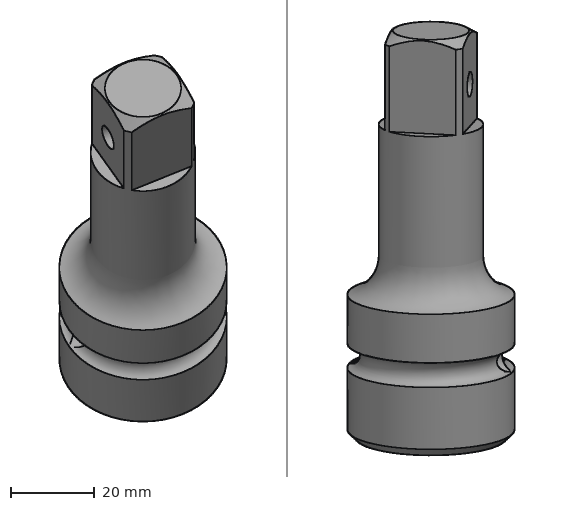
import cadquery as cq
import math

total_height = 100.0
square_base_z = 77.0
flare_base_z = 35.2
flare_top_z = 44.8

body_radius = 20.0
shank_radius = 12.5
base_chamfer_height = 2.0
base_chamfer_width = 2.0

groove_z = 20.2
groove_radius = 3.0

square_side = 19.0
corner_radius = 12.5
end_radius = 9.1
cone_height = 2.0

pin_hole_diameter = 6.0
drive_hole_z = 87.3

flare_width = body_radius - shank_radius
flare_height = flare_top_z - flare_base_z
flare_radius = (flare_width**2 + flare_height**2) / (2 * flare_width)
flare_half_angle = math.asin(flare_height / flare_radius) / 2
flare_mid = (
    shank_radius + flare_radius * (1 - math.cos(flare_half_angle)),
    flare_top_z - flare_radius * math.sin(flare_half_angle),
)


def turned_body():
    """Revolve the chamfered base, grooved collar, flare and shank."""
    profile = (
        cq.Workplane("XZ")
        .lineTo(body_radius - base_chamfer_width, 0)
        .lineTo(body_radius, base_chamfer_height)
        .lineTo(body_radius, groove_z - groove_radius)
        .threePointArc((body_radius - groove_radius, groove_z), (body_radius, groove_z + groove_radius))
        .lineTo(body_radius, flare_base_z)
        .threePointArc(flare_mid, (shank_radius, flare_top_z))
        .lineTo(shank_radius, square_base_z)
        .lineTo(0, square_base_z)
        .close()
    )
    return profile.revolve(360, (0, 0, 0), (0, 1, 0))


def square_drive():
    """Trim a square bar with a cone-ended turned envelope."""
    bar = (
        cq.Workplane("XY", origin=(0, 0, square_base_z))
        .rect(square_side, square_side)
        .extrude(total_height - square_base_z)
    )
    envelope = (
        cq.Workplane("XZ")
        .moveTo(0, square_base_z)
        .lineTo(corner_radius, square_base_z)
        .lineTo(corner_radius, total_height - cone_height)
        .lineTo(end_radius, total_height)
        .lineTo(0, total_height)
        .close()
        .revolve(360, (0, 0, 0), (0, 1, 0))
    )
    return bar.intersect(envelope)


def cross_hole(height):
    """Cylinder along Y through the whole part."""
    return (
        cq.Workplane("XZ", origin=(0, 0, height))
        .circle(pin_hole_diameter / 2)
        .extrude(body_radius, both=True)
    )


result = turned_body().union(square_drive())
for hole_z in (groove_z, drive_hole_z):
    result = result.cut(cross_hole(hole_z))